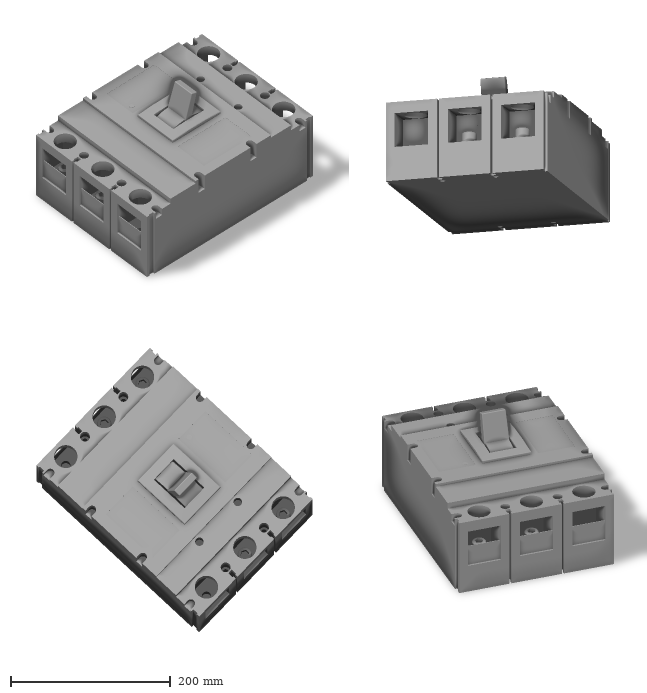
import cadquery as cq
import math

LENGTH = 281.0
WIDTH = 210.0
TOTAL_HEIGHT = 156.8
SPLIT_Z = 72.8
END_Z = 101.7
STEP_Z = 110.2
PLATEAU_Z = 114.0
STEP_Y = 102.0
PLATEAU_BACK_Y = 68.0
PLATEAU_FRONT_Y = -59.5

POLE_PITCH = 70.0
POLE_X = [-POLE_PITCH, 0, POLE_PITCH]
SCREWED_POLE_X = POLE_X[:2]
TERMINAL_Y = 121.5
ACCESS_RADIUS = 14.5
POCKET_WIDTH = 44.0
POCKET_ROOF_Z = 87.0
POCKET_FLOOR_Z = 43.5
POCKET_INNER_Y = 105.0
LIP_TOP_Z = 64.3
LIP_THICKNESS = 0.8
WINDOW_SILL_Z = 37.5
WINDOW_RECESS = 2.8
CHANNEL_WIDTH = 3.5
SCREW_HOLE_RADIUS = 6.0
SCREW_HOLE_DEPTH = 14.0

HEAD_TOP_Z = 59.0
HEAD_RADIUS = 9.0
HEAD_CHAMFER = 1.0
HEX_ACROSS_FLATS = 9.5
HEX_DEPTH = 8.5
FLANGE_RADIUS = 12.5
FLANGE_HEIGHT = 2.8

GROOVE_X = [(i - 1.5) * POLE_PITCH for i in range(4)]
GROOVE_NECK_WIDTH = 3.0
GROOVE_NECK_DEPTH = 4.2
GROOVE_HEAD_WIDTH = 6.2
GROOVE_DEPTH = 11.5

BETWEEN_POLES_X = GROOVE_X[1:3]
MOUNT_RADIUS = 3.5
MOUNT_BORE_RADIUS = 6.2
BLIND_HOLE_Y = 76.2
BLIND_HOLE_RADIUS = 5.3
BLIND_HOLE_DEPTH = 14.0

NOTCH_Y = [-TERMINAL_Y, -49.2, 38.5, TERMINAL_Y]
NOTCH_WIDTH = 10.5
NOTCH_REACH = 11.8
NOTCH_FLOOR_Z = 91.3

LABEL_X = 66.3
LABEL_WIDTH = 49.0
LABEL_FRONT_Y = -32.5
LABEL_BACK_Y = 48.3
LABEL_DEPTH = 0.3
BUTTON_X = -52.8
BUTTON_Y = -24.5
BUTTON_RADIUS = 3.5

PLATE_WIDTH = 189.7
PLATE_BACK_Y = -62.7
PLATE_THICKNESS = 4.2

HANDLE_Y = 8.0
BEZEL_WIDTH = 65.5
BEZEL_LENGTH = 81.0
BEZEL_EDGE_Z = 118.0
BEZEL_CROWN_Z = 120.0
BEZEL_FILLET = 0.8
SLOT_WIDTH = 36.2
SLOT_LENGTH = 52.8
SLOT_FLOOR_Z = 104.0

DRUM_TOP_Z = 120.3
DRUM_RADIUS = 67.5
DRUM_WIDTH = 31.0
LEVER_TILT = 16.0
LEVER_ROOT_Z = 115.2
LEVER_WIDTH = 33.5
LEVER_THICKNESS = 11.2
LEVER_LENGTH = 42.0
LEVER_DRAFT = 1.0
LEVER_EDGE_FILLET = 1.0


def block(x_range, y_range, z_range):
    """Axis-aligned box spanning the given ranges."""
    size = [high - low for low, high in (x_range, y_range, z_range)]
    corner = (x_range[0], y_range[0], z_range[0])
    return cq.Workplane("XY").box(*size, centered=False).translate(corner)


def centered_range(center, size):
    return (center - size / 2, center + size / 2)


def vertical_cylinders(points, radius, z_range):
    low, high = z_range
    return cq.Workplane("XY", origin=(0, 0, low)).pushPoints(points).circle(radius).extrude(high - low)


def both_ends(x_places):
    """Points at the terminal line of both ends for each X place."""
    return [(x, y) for x in x_places for y in (-TERMINAL_Y, TERMINAL_Y)]


def cut_grooves(body):
    for x in GROOVE_X:
        for end in (-1, 1):
            neck = cq.Workplane("XY").center(x, end * (LENGTH - GROOVE_NECK_DEPTH) / 2)
            neck = neck.rect(GROOVE_NECK_WIDTH, GROOVE_NECK_DEPTH).extrude(PLATEAU_Z)
            head_depth = GROOVE_DEPTH - GROOVE_NECK_DEPTH
            head_y = end * (LENGTH / 2 - GROOVE_NECK_DEPTH - head_depth / 2)
            head = cq.Workplane("XY").center(x, head_y)
            head = head.rect(GROOVE_HEAD_WIDTH, head_depth).extrude(PLATEAU_Z)
            body = body.cut(neck).cut(head)
    return body


def cut_terminal_pockets(body):
    """Pockets open to both ends; the front ones keep a low thin lip set back in a recess."""
    front = -LENGTH / 2
    lip_front = front + WINDOW_RECESS
    lip_back = lip_front + LIP_THICKNESS
    for x in POLE_X:
        x_range = centered_range(x, POCKET_WIDTH)
        cutters = [
            block(x_range, (lip_back, -POCKET_INNER_Y), (POCKET_FLOOR_Z, POCKET_ROOF_Z)),
            block(x_range, (lip_back, lip_back + CHANNEL_WIDTH), (WINDOW_SILL_Z, POCKET_FLOOR_Z)),
            block(x_range, (lip_front, lip_back), (LIP_TOP_Z, POCKET_ROOF_Z)),
            block(x_range, (front, lip_front), (WINDOW_SILL_Z, POCKET_ROOF_Z)),
            block(x_range, (POCKET_INNER_Y, LENGTH / 2), (POCKET_FLOOR_Z, POCKET_ROOF_Z)),
        ]
        for cutter in cutters:
            body = body.cut(cutter)
    return body


def make_base():
    base = block(centered_range(0, WIDTH), centered_range(0, LENGTH), (0, SPLIT_Z))
    base = cut_terminal_pockets(cut_grooves(base))
    base = base.cut(vertical_cylinders(both_ends(BETWEEN_POLES_X), MOUNT_RADIUS, (0, SPLIT_Z)))
    screw_hole_range = (POCKET_FLOOR_Z - SCREW_HOLE_DEPTH, POCKET_FLOOR_Z)
    return base.cut(vertical_cylinders(both_ends(POLE_X), SCREW_HOLE_RADIUS, screw_hole_range))


def cut_side_notches(cover):
    length = 2 * NOTCH_REACH
    for x in (-WIDTH / 2, WIDTH / 2):
        for y in NOTCH_Y:
            notch = cq.Workplane("XY", origin=(x, y, NOTCH_FLOOR_Z)).slot2D(length, NOTCH_WIDTH)
            cover = cover.cut(notch.extrude(PLATEAU_Z - NOTCH_FLOOR_Z))
    return cover


def cut_label_fields(cover):
    """Shallow label fields; the left one has a button standing flush with the plateau."""
    z_range = (PLATEAU_Z - LABEL_DEPTH, PLATEAU_Z)
    for x in (-LABEL_X, LABEL_X):
        field = block(centered_range(x, LABEL_WIDTH), (LABEL_FRONT_Y, LABEL_BACK_Y), z_range)
        cover = cover.cut(field)
    return cover.union(vertical_cylinders([(BUTTON_X, BUTTON_Y)], BUTTON_RADIUS, z_range))


def accessory_plate_block():
    z_range = (STEP_Z - PLATE_THICKNESS, STEP_Z)
    return block(centered_range(0, PLATE_WIDTH), (-STEP_Y, PLATE_BACK_Y), z_range)


def handle_slot():
    """Slot running from its floor in the cover up through the bezel."""
    y_range = centered_range(HANDLE_Y, SLOT_LENGTH)
    return block(centered_range(0, SLOT_WIDTH), y_range, (SLOT_FLOOR_Z, TOTAL_HEIGHT))


def make_cover():
    profile = [
        (-LENGTH / 2, SPLIT_Z), (LENGTH / 2, SPLIT_Z),
        (LENGTH / 2, END_Z), (STEP_Y, END_Z),
        (STEP_Y, STEP_Z), (PLATEAU_BACK_Y, STEP_Z),
        (PLATEAU_BACK_Y, PLATEAU_Z), (PLATEAU_FRONT_Y, PLATEAU_Z),
        (PLATEAU_FRONT_Y, STEP_Z), (-STEP_Y, STEP_Z),
        (-STEP_Y, END_Z), (-LENGTH / 2, END_Z),
    ]
    cover = cq.Workplane("YZ").polyline(profile).close().extrude(WIDTH / 2, both=True)
    cover = cut_terminal_pockets(cut_grooves(cover))
    cover = cover.cut(vertical_cylinders(both_ends(POLE_X), ACCESS_RADIUS, (POCKET_ROOF_Z, END_Z)))
    cover = cover.cut(vertical_cylinders(both_ends(BETWEEN_POLES_X), MOUNT_BORE_RADIUS, (SPLIT_Z, END_Z)))
    blind_points = [(x, BLIND_HOLE_Y) for x in BETWEEN_POLES_X]
    blind_range = (STEP_Z - BLIND_HOLE_DEPTH, STEP_Z)
    cover = cover.cut(vertical_cylinders(blind_points, BLIND_HOLE_RADIUS, blind_range))
    cover = cut_label_fields(cut_side_notches(cover))
    return cover.cut(accessory_plate_block()).cut(handle_slot())


def make_bezel():
    """Frame with a slightly crowned top and rounded upper edges."""
    front = HANDLE_Y - BEZEL_LENGTH / 2
    back = HANDLE_Y + BEZEL_LENGTH / 2
    bezel = (
        cq.Workplane("YZ")
        .moveTo(front, PLATEAU_Z)
        .lineTo(front, BEZEL_EDGE_Z)
        .threePointArc((HANDLE_Y, BEZEL_CROWN_Z), (back, BEZEL_EDGE_Z))
        .lineTo(back, PLATEAU_Z)
        .close()
        .extrude(BEZEL_WIDTH / 2, both=True)
    )
    return bezel.faces(">Z").edges().fillet(BEZEL_FILLET).cut(handle_slot())


def make_handle():
    """Drum segment filling the slot, with a drafted lever leaning toward +Y."""
    drum_z = DRUM_TOP_Z - DRUM_RADIUS
    drum = cq.Workplane("YZ").center(HANDLE_Y, drum_z).circle(DRUM_RADIUS)
    drum = drum.extrude(DRUM_WIDTH / 2, both=True)
    y_range = centered_range(HANDLE_Y, SLOT_LENGTH)
    drum = drum.intersect(block(centered_range(0, DRUM_WIDTH), y_range, (SLOT_FLOOR_Z, TOTAL_HEIGHT)))

    tilt = math.radians(LEVER_TILT)
    root = (0, HANDLE_Y, LEVER_ROOT_Z)
    lever_plane = cq.Plane(origin=root, xDir=(1, 0, 0), normal=(0, math.sin(tilt), math.cos(tilt)))
    lever = cq.Workplane(lever_plane).rect(LEVER_WIDTH, LEVER_THICKNESS)
    lever = lever.extrude(LEVER_LENGTH, taper=LEVER_DRAFT).edges().fillet(LEVER_EDGE_FILLET)
    lever = lever.translate((0, 0, TOTAL_HEIGHT - lever.val().BoundingBox().zmax))
    return drum.union(lever)


def make_screw(x, y):
    """Flanged socket screw whose shank fills the hole in the pocket floor."""
    center = [(x, y)]
    screw = vertical_cylinders(center, HEAD_RADIUS, (POCKET_FLOOR_Z, HEAD_TOP_Z))
    screw = screw.faces(">Z").chamfer(HEAD_CHAMFER)
    flange_range = (POCKET_FLOOR_Z, POCKET_FLOOR_Z + FLANGE_HEIGHT)
    shank_range = (POCKET_FLOOR_Z - SCREW_HOLE_DEPTH, POCKET_FLOOR_Z)
    screw = screw.union(vertical_cylinders(center, FLANGE_RADIUS, flange_range))
    screw = screw.union(vertical_cylinders(center, SCREW_HOLE_RADIUS, shank_range))
    across_corners = HEX_ACROSS_FLATS / math.cos(math.pi / 6)
    socket = cq.Workplane("XY", origin=(x, y, HEAD_TOP_Z)).transformed(rotate=(0, 0, 90))
    return screw.cut(socket.polygon(6, across_corners).extrude(-HEX_DEPTH))


base = make_base()
cover = make_cover()
accessory_plate = accessory_plate_block()
bezel = make_bezel()
handle = make_handle()
screws = [make_screw(x, y) for x, y in both_ends(SCREWED_POLE_X)]

result = cq.Compound.makeCompound([
    base.val(),
    cover.val(),
    accessory_plate.val(),
    bezel.val(),
    handle.val(),
    *[screw.val() for screw in screws],
])